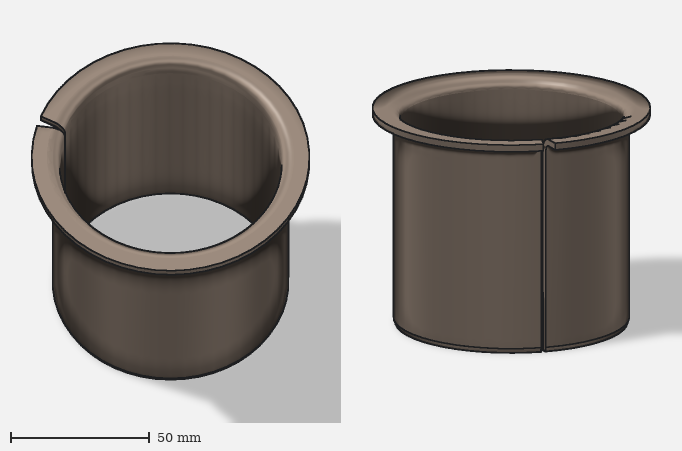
import cadquery as cq
import math

bore_radius = 40.0
sheet_thickness = 2.5
flange_radius = 50.0
height = 80.0

outer_bend_radius = 2.0
inner_bend_radius = outer_bend_radius + sheet_thickness
bend_mid_angle = 45.0

chamfer_height = 1.8
chamfer_angle = 20.0

split_gap_at_bore = 0.85
split_half_angle = 10.0

barrel_radius = bore_radius + sheet_thickness
bend_centre_radius = barrel_radius + outer_bend_radius
bend_centre_z = height - inner_bend_radius
flange_underside_z = height - sheet_thickness
chamfer_width = chamfer_height * math.tan(math.radians(chamfer_angle))


def bend_point(radius):
    """Midpoint of a bend arc, as (x, z) on the -X side."""
    offset = radius * math.cos(math.radians(bend_mid_angle))
    return (offset - bend_centre_radius, bend_centre_z + offset)


def flanged_sleeve():
    """Full ring: the wall section on the -X side revolved about Z."""
    return (
        cq.Workplane("XZ")
        .moveTo(-bore_radius, 0)
        .lineTo(-barrel_radius + chamfer_width, 0)
        .lineTo(-barrel_radius, chamfer_height)
        .lineTo(-barrel_radius, bend_centre_z)
        .threePointArc(bend_point(outer_bend_radius), (-bend_centre_radius, flange_underside_z))
        .lineTo(-flange_radius, flange_underside_z)
        .lineTo(-flange_radius, height)
        .lineTo(-bend_centre_radius, height)
        .threePointArc(bend_point(inner_bend_radius), (-bore_radius, bend_centre_z))
        .close()
        .revolve(360, (0, 0, 0), (0, 1, 0))
    )


def split_wedge():
    """Wedge whose width equals the split gap at the bore and grows outwards."""
    slope = math.tan(math.radians(split_half_angle))
    apex_radius = bore_radius - split_gap_at_bore / 2 / slope
    end_radius = flange_radius + sheet_thickness
    end_half_width = (end_radius - apex_radius) * slope
    return (
        cq.Workplane("XY")
        .moveTo(-apex_radius, 0)
        .lineTo(-end_radius, end_half_width)
        .lineTo(-end_radius, -end_half_width)
        .close()
        .extrude(height)
    )


result = flanged_sleeve().cut(split_wedge())